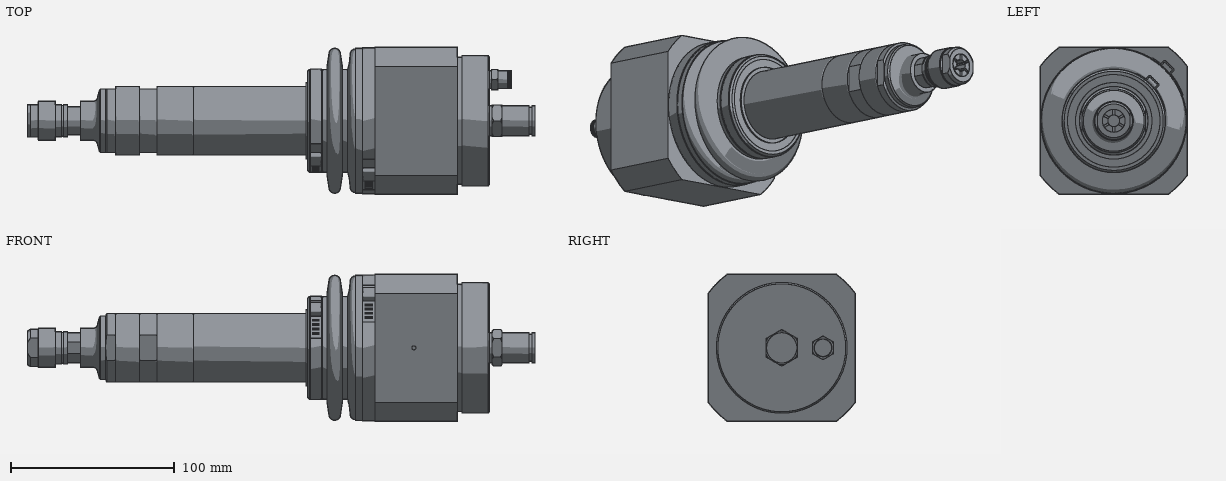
import cadquery as cq
import math

OVERALL_LENGTH = 310.47

NUT_RADIUS = 11.5
NUT_FACE_RADIUS = 10.3
NUT_CHAMFER_LENGTH = 1.9
NUT_FLAT_LENGTH = 6.5
NUT_ACROSS_FLATS = 19.8
RING_RADIUS = 12.0
RING_CHAMFER = 0.4
RING_END = 17.2
SLEEVE_RADIUS = 9.9
SLEEVE_END = 24.7
SLEEVE_GROOVE_START = 20.8
SLEEVE_GROOVE_END = 22.0
SLEEVE_GROOVE_RADIUS = 9.5
NECK_RADIUS = 9.25
NECK_ACROSS_FLATS = 17.2
COLLET_RADIUS = 7.0
COLLET_RECESS = 0.4
COLLET_BORE_RADIUS = 3.6
COLLET_DEPTH = 20.0
COLLET_SLITS = 6
COLLET_SLIT_WIDTH = 1.3
COLLET_SLIT_DEPTH = 15.0
COLLET_SLIT_INNER_RADIUS = 3.0
COLLET_SLIT_OUTER_RADIUS = 6.8

NOSE_START = 32.5
NOSE_RADIUS = 12.0
FLARE_START = 40.2
FLARE_RADIUS = 2.7
SHOULDER_CONE_LENGTH = 1.1
SHOULDER_CHAMFER = 0.9
SHOULDER_RADIUS = 19.5
SHAFT_START = 47.9
SHAFT_CHAMFER_LENGTH = 0.7
SHAFT_RADIUS = 21.0
SHAFT_ACROSS_FLATS = 39.0
FRONT_FLAT_END = 54.0
WRENCH_FLAT_START = 68.7
WRENCH_FLAT_END = 79.2
JOINT_X = 101.5
JOINT_WIDTH = 1.2
JOINT_DEPTH = 0.15

SEAT_STEP_START = 170.3
SEAT_STEP_RADIUS = 23.4
BOOT_START = 171.2
FRONT_SEAT_RADIUS = 28.3
FRONT_SEAT_END = 182.0
BOOT_LIP_RADIUS = 31.5
BOOT_LIP_CHAMFER = 1.2
FRONT_BAND_START = 173.0
FRONT_BAND_END = 179.7
FRONT_BAND_RADIUS = 31.7
NECK_GROOVE_WIDTH = 0.9
NECK_GROOVE_DEPTH = 0.8
BEAD_CENTER = 187.9
BEAD_BASE_RADIUS = 33.0
BEAD_BASE_HALF_WIDTH = 4.8
BEAD_TIP_RADIUS = 3.6
BEAD_OUTER_RADIUS = 44.4
BOOT_REAR_START = 196.7
BOOT_REAR_BASE_RADIUS = 35.0
BOOT_REAR_ROUND = 3.4
BOOT_REAR_ROUND_END = 200.7
BOOT_REAR_ROUND_RADIUS = 44.0
BOOT_REAR_RADIUS = 44.5
REAR_SEAT_START = 200.0
REAR_SEAT_RADIUS = 41.5
REAR_BAND_START = 205.0
REAR_BAND_RADIUS = 44.7
BAND_THICKNESS = 0.8

EAR_ANGLE = 45.0
EAR_WIDTH = 8.6
EAR_HEIGHT = 3.7
EAR_ROUND = 1.0
EAR_WALL = 0.9
UPPER_LAP_ARC_LENGTH = 6.2
TAIL_ARC_LENGTH = 14.8
TAIL_THICKNESS = 0.5
TAIL_SLOTS = 4
TAIL_SLOT_LENGTH = 0.9
TAIL_SLOT_MARGIN = 1.3

BLOCK_START = 212.4
BLOCK_END = 262.9
BLOCK_SIDE = 90.0
BLOCK_CORNER_RADIUS = 56.0
VENT_X = 236.3
VENT_DIAMETER = 2.5
VENT_DEPTH = 5.0
CAP_NECK_RADIUS = 39.0
CAP_START = 265.6
CAP_RADIUS = 40.0
CAP_END = 282.5
CAP_CHAMFER = 0.9

AIR_BARREL_RADIUS = 9.25
AIR_HEX_START = 284.2
AIR_HEX_END = 290.2
AIR_HEX_ACROSS_FLATS = 19.4
AIR_HEX_CHAMFER = 0.9
AIR_GROOVE_START = 306.7
AIR_GROOVE_END = 308.4
AIR_GROOVE_RADIUS = 8.3

PLUG_Y = 25.2
PLUG_HEX_START = 283.7
PLUG_HEX_END = 287.6
PLUG_HEX_ACROSS_FLATS = 12.6
PLUG_HEX_CHAMFER = 0.5
PLUG_RADIUS = 5.5
PLUG_GROOVE_STARTS = (293.5, 294.8)
PLUG_GROOVE_WIDTH = 0.6
PLUG_GROOVE_DEPTH = 0.2
PLUG_END = 296.1


def revolve_about_axis(profile):
    """Turn an (x, radius) profile around the X axis."""
    return profile.close().revolve(360, (0, 0, 0), (1, 0, 0))


def cylinder(start, end, radius, y=0.0):
    return cq.Workplane("YZ", origin=(start, y, 0)).circle(radius).extrude(end - start)


def ring(start, end, outer_radius, inner_radius):
    profile = cq.Workplane("YZ", origin=(start, 0, 0)).circle(outer_radius).circle(inner_radius)
    return profile.extrude(end - start)


def cut_flats(body, start, end, across_flats, stock_radius):
    """Cut two parallel flats facing -Y and +Y."""
    depth = stock_radius - across_flats / 2
    for side in (-1, 1):
        flat = cq.Workplane("XY").box(end - start, depth, 2 * stock_radius)
        body = body.cut(flat.translate(((start + end) / 2, side * (across_flats + depth) / 2, 0)))
    return body


def joint_groove(x):
    """Shallow V-shaped ring that marks a joint on the shaft."""
    return revolve_about_axis(
        cq.Workplane("XY")
        .moveTo(x - JOINT_WIDTH / 2, SHAFT_RADIUS)
        .lineTo(x, SHAFT_RADIUS - JOINT_DEPTH)
        .lineTo(x + JOINT_WIDTH / 2, SHAFT_RADIUS)
    )


def spindle_blank():
    flare_end = FLARE_START + FLARE_RADIUS
    flare_top = NOSE_RADIUS + FLARE_RADIUS
    flare_middle = (
        FLARE_START + FLARE_RADIUS * math.sin(math.radians(45)),
        flare_top - FLARE_RADIUS * math.cos(math.radians(45)),
    )
    shoulder_start = flare_end + SHOULDER_CONE_LENGTH
    profile = (
        cq.Workplane("XY")
        .lineTo(0, NUT_FACE_RADIUS)
        .lineTo(NUT_CHAMFER_LENGTH, NUT_RADIUS)
        .lineTo(NUT_FLAT_LENGTH, NUT_RADIUS)
        .lineTo(NUT_FLAT_LENGTH + RING_CHAMFER, RING_RADIUS)
        .lineTo(RING_END, RING_RADIUS)
        .lineTo(RING_END, SLEEVE_RADIUS)
        .lineTo(SLEEVE_GROOVE_START, SLEEVE_RADIUS)
        .lineTo(SLEEVE_GROOVE_START, SLEEVE_GROOVE_RADIUS)
        .lineTo(SLEEVE_GROOVE_END, SLEEVE_GROOVE_RADIUS)
        .lineTo(SLEEVE_GROOVE_END, SLEEVE_RADIUS)
        .lineTo(SLEEVE_END, SLEEVE_RADIUS)
        .lineTo(SLEEVE_END, NECK_RADIUS)
        .lineTo(NOSE_START, NECK_RADIUS)
        .lineTo(NOSE_START, NOSE_RADIUS)
        .lineTo(FLARE_START, NOSE_RADIUS)
        .threePointArc(flare_middle, (flare_end, flare_top))
        .lineTo(shoulder_start, SHOULDER_RADIUS - SHOULDER_CHAMFER)
        .lineTo(shoulder_start + SHOULDER_CHAMFER, SHOULDER_RADIUS)
        .lineTo(SHAFT_START, SHOULDER_RADIUS)
        .lineTo(SHAFT_START + SHAFT_CHAMFER_LENGTH, SHAFT_RADIUS)
        .lineTo(SEAT_STEP_START, SHAFT_RADIUS)
        .lineTo(SEAT_STEP_START, SEAT_STEP_RADIUS)
        .lineTo(BOOT_START, SEAT_STEP_RADIUS)
        .lineTo(BOOT_START, FRONT_SEAT_RADIUS)
        .lineTo(FRONT_SEAT_END, FRONT_SEAT_RADIUS)
        .lineTo(FRONT_SEAT_END, SHAFT_RADIUS)
        .lineTo(REAR_SEAT_START, SHAFT_RADIUS)
        .lineTo(REAR_SEAT_START, 0)
    )
    return revolve_about_axis(profile)


def cut_collet(body):
    """Recessed collet face with a tool bore and radial slits."""
    body = body.cut(cylinder(0, COLLET_RECESS, COLLET_RADIUS))
    body = body.cut(cylinder(0, COLLET_DEPTH, COLLET_BORE_RADIUS))
    slit_length = COLLET_SLIT_OUTER_RADIUS - COLLET_SLIT_INNER_RADIUS
    slit = (
        cq.Workplane("XY")
        .box(COLLET_SLIT_DEPTH, COLLET_SLIT_WIDTH, slit_length, centered=(False, True, False))
        .translate((0, 0, COLLET_SLIT_INNER_RADIUS))
    )
    for index in range(COLLET_SLITS):
        body = body.cut(slit.rotate((0, 0, 0), (1, 0, 0), index * 360 / COLLET_SLITS))
    return body


def make_spindle():
    body = cut_collet(spindle_blank())
    body = cut_flats(body, 0, NUT_FLAT_LENGTH, NUT_ACROSS_FLATS, RING_RADIUS)
    body = cut_flats(body, SLEEVE_END, NOSE_START, NECK_ACROSS_FLATS, NECK_RADIUS)
    body = cut_flats(body, SHAFT_START, FRONT_FLAT_END, SHAFT_ACROSS_FLATS, SHAFT_RADIUS)
    body = cut_flats(body, WRENCH_FLAT_START, WRENCH_FLAT_END, SHAFT_ACROSS_FLATS, SHAFT_RADIUS)
    for x in (FRONT_FLAT_END, WRENCH_FLAT_START, WRENCH_FLAT_END, JOINT_X):
        body = body.cut(joint_groove(x))
    return body


def make_boot():
    """Rubber bellows with one round-tipped fold and a groove for each clamp band."""
    front_groove_radius = FRONT_BAND_RADIUS - BAND_THICKNESS
    rear_groove_radius = REAR_BAND_RADIUS - BAND_THICKNESS
    neck_groove_floor = BOOT_LIP_RADIUS - NECK_GROOVE_DEPTH
    neck_groove_end = FRONT_BAND_END + NECK_GROOVE_WIDTH
    bead_tip_center = BEAD_OUTER_RADIUS - BEAD_TIP_RADIUS
    rear_round_start = BOOT_REAR_ROUND_RADIUS - BOOT_REAR_ROUND
    rear_round_left = BOOT_REAR_ROUND_END - BOOT_REAR_ROUND
    rear_round_middle = (
        BOOT_REAR_ROUND_END - BOOT_REAR_ROUND * math.cos(math.radians(45)),
        rear_round_start + BOOT_REAR_ROUND * math.sin(math.radians(45)),
    )
    profile = (
        cq.Workplane("XY")
        .moveTo(BOOT_START, FRONT_SEAT_RADIUS)
        .lineTo(BOOT_START, BOOT_LIP_RADIUS - BOOT_LIP_CHAMFER)
        .lineTo(BOOT_START + BOOT_LIP_CHAMFER, BOOT_LIP_RADIUS)
        .lineTo(FRONT_BAND_START, BOOT_LIP_RADIUS)
        .lineTo(FRONT_BAND_START, front_groove_radius)
        .lineTo(FRONT_BAND_END, front_groove_radius)
        .lineTo(FRONT_BAND_END, neck_groove_floor)
        .lineTo(neck_groove_end, neck_groove_floor)
        .lineTo(neck_groove_end, BOOT_LIP_RADIUS)
        .lineTo(BEAD_CENTER - BEAD_BASE_HALF_WIDTH, BOOT_LIP_RADIUS)
        .lineTo(BEAD_CENTER - BEAD_BASE_HALF_WIDTH, BEAD_BASE_RADIUS)
        .lineTo(BEAD_CENTER - BEAD_TIP_RADIUS, bead_tip_center)
        .threePointArc((BEAD_CENTER, BEAD_OUTER_RADIUS), (BEAD_CENTER + BEAD_TIP_RADIUS, bead_tip_center))
        .lineTo(BEAD_CENTER + BEAD_BASE_HALF_WIDTH, BEAD_BASE_RADIUS)
        .lineTo(BEAD_CENTER + BEAD_BASE_HALF_WIDTH, BOOT_LIP_RADIUS)
        .lineTo(BOOT_REAR_START - NECK_GROOVE_WIDTH, BOOT_LIP_RADIUS)
        .lineTo(BOOT_REAR_START, BOOT_REAR_BASE_RADIUS)
        .lineTo(rear_round_left, rear_round_start)
        .threePointArc(rear_round_middle, (BOOT_REAR_ROUND_END, BOOT_REAR_ROUND_RADIUS))
        .lineTo(BOOT_REAR_ROUND_END, BOOT_REAR_RADIUS)
        .lineTo(REAR_BAND_START, BOOT_REAR_RADIUS)
        .lineTo(REAR_BAND_START, rear_groove_radius)
        .lineTo(BLOCK_START, rear_groove_radius)
        .lineTo(BLOCK_START, REAR_SEAT_RADIUS)
        .lineTo(REAR_SEAT_START, REAR_SEAT_RADIUS)
        .lineTo(REAR_SEAT_START, FRONT_SEAT_RADIUS)
    )
    return revolve_about_axis(profile)


def sector(start, end, outer_radius, inner_radius, from_angle, to_angle):
    """Part of a ring; angles turn from -Y up toward +Z."""
    def point(radius, angle):
        turn = math.radians(angle)
        return (-radius * math.cos(turn), radius * math.sin(turn))

    middle = (from_angle + to_angle) / 2
    return (
        cq.Workplane("YZ", origin=(start, 0, 0))
        .moveTo(*point(inner_radius, from_angle))
        .lineTo(*point(outer_radius, from_angle))
        .threePointArc(point(outer_radius, middle), point(outer_radius, to_angle))
        .lineTo(*point(inner_radius, to_angle))
        .threePointArc(point(inner_radius, middle), point(inner_radius, from_angle))
        .close()
        .extrude(end - start)
    )


def clamp_ear(start, end, band_radius):
    base_radius = band_radius - BAND_THICKNESS / 2
    opening = cq.Workplane("XY").box(
        end - start, EAR_WIDTH - 2 * EAR_WALL, band_radius + EAR_HEIGHT - EAR_WALL, centered=(False, True, False)
    )
    ear = (
        cq.Workplane("XY")
        .box(end - start, EAR_WIDTH, band_radius + EAR_HEIGHT, centered=(False, True, False))
        .edges("|X and >Z")
        .fillet(EAR_ROUND)
        .cut(opening)
        .translate((start, 0, 0))
        .cut(cylinder(start, end, base_radius))
    )
    return ear.rotate((0, 0, 0), (1, 0, 0), 90 - EAR_ANGLE)


def make_clamp(start, end, band_radius):
    """Ear clamp: a thin band, a raised hollow ear, a lap above the ear and a slotted tail below it."""
    inner_radius = band_radius - BAND_THICKNESS
    tail_radius = band_radius + TAIL_THICKNESS
    degrees_per_length = math.degrees(1 / band_radius)
    tail_top = EAR_ANGLE - EAR_WIDTH / 2 * degrees_per_length
    tail_pitch = TAIL_ARC_LENGTH / (TAIL_SLOTS + 1)

    band = ring(start, end, band_radius, inner_radius)
    tail_bottom = tail_top - TAIL_ARC_LENGTH * degrees_per_length
    tail = sector(start, end, tail_radius, inner_radius, tail_bottom, tail_top)
    lap_bottom = EAR_ANGLE + EAR_WIDTH / 2 * degrees_per_length
    lap_top = lap_bottom + UPPER_LAP_ARC_LENGTH * degrees_per_length
    upper_lap = sector(start, end, tail_radius, inner_radius, lap_bottom, lap_top)
    clamp = band.union(tail).union(upper_lap).union(clamp_ear(start, end, band_radius))
    for index in range(TAIL_SLOTS):
        slot_center = tail_top - (index + 1) * tail_pitch * degrees_per_length
        half_slot = TAIL_SLOT_LENGTH / 2 * degrees_per_length
        clamp = clamp.cut(
            sector(
                start + TAIL_SLOT_MARGIN,
                end - TAIL_SLOT_MARGIN,
                tail_radius + TAIL_THICKNESS,
                band_radius,
                slot_center - half_slot,
                slot_center + half_slot,
            )
        )
    return clamp


def hex_nut(start, end, across_flats, chamfer, y=0.0):
    """Hexagon with corners toward +Z and -Z, its corners turned down at both ends."""
    corner_radius = across_flats / 2 / math.cos(math.radians(30))
    turned = cylinder(start, end, corner_radius).edges().chamfer(chamfer)
    prism = (
        cq.Workplane("YZ", origin=(start, 0, 0))
        .transformed(rotate=(0, 0, 90))
        .polygon(6, 2 * corner_radius)
        .extrude(end - start)
    )
    return prism.intersect(turned).translate((0, y, 0))


def make_housing():
    block_length = BLOCK_END - BLOCK_START
    block = (
        cq.Workplane("YZ", origin=(BLOCK_START, 0, 0))
        .rect(BLOCK_SIDE, BLOCK_SIDE)
        .extrude(block_length)
        .intersect(cylinder(BLOCK_START, BLOCK_END, BLOCK_CORNER_RADIUS))
    )
    vent = (
        cq.Workplane("XZ", origin=(VENT_X, -BLOCK_SIDE / 2, 0))
        .circle(VENT_DIAMETER / 2)
        .extrude(-VENT_DEPTH)
    )
    boot_seat = cylinder(REAR_SEAT_START, BLOCK_START, REAR_SEAT_RADIUS)
    cap_neck = cylinder(BLOCK_END, CAP_START, CAP_NECK_RADIUS)
    cap = cylinder(CAP_START, CAP_END, CAP_RADIUS).faces(">X").edges().chamfer(CAP_CHAMFER)

    air_barrel = cylinder(CAP_END, OVERALL_LENGTH, AIR_BARREL_RADIUS).cut(
        ring(AIR_GROOVE_START, AIR_GROOVE_END, AIR_BARREL_RADIUS, AIR_GROOVE_RADIUS)
    )
    air_hex = hex_nut(AIR_HEX_START, AIR_HEX_END, AIR_HEX_ACROSS_FLATS, AIR_HEX_CHAMFER)

    plug_base = cylinder(CAP_END, PLUG_HEX_START, PLUG_RADIUS, PLUG_Y)
    plug_hex = hex_nut(PLUG_HEX_START, PLUG_HEX_END, PLUG_HEX_ACROSS_FLATS, PLUG_HEX_CHAMFER, PLUG_Y)
    plug_barrel = cylinder(PLUG_HEX_END, PLUG_END, PLUG_RADIUS, PLUG_Y)
    for groove_start in PLUG_GROOVE_STARTS:
        groove = ring(
            groove_start, groove_start + PLUG_GROOVE_WIDTH, PLUG_RADIUS, PLUG_RADIUS - PLUG_GROOVE_DEPTH
        )
        plug_barrel = plug_barrel.cut(groove.translate((0, PLUG_Y, 0)))

    body = block.cut(vent)
    for piece in (boot_seat, cap_neck, cap, air_barrel, air_hex, plug_base, plug_hex, plug_barrel):
        body = body.union(piece)
    return body


spindle = make_spindle()
boot = make_boot()
housing = make_housing()
clamps = [
    make_clamp(start, end, radius)
    for start, end, radius in (
        (FRONT_BAND_START, FRONT_BAND_END, FRONT_BAND_RADIUS),
        (REAR_BAND_START, BLOCK_START, REAR_BAND_RADIUS),
    )
]

result = cq.Compound.makeCompound(
    [spindle.val(), boot.val(), housing.val(), *[clamp.val() for clamp in clamps]]
)